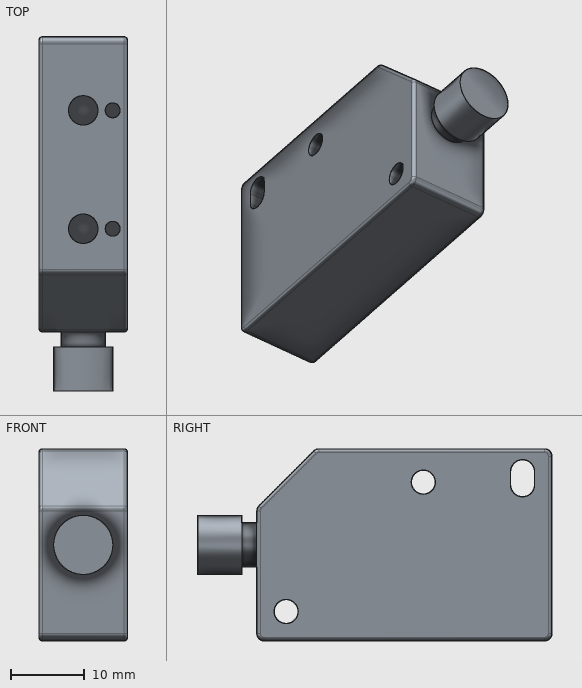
import cadquery as cq

width = 12.0
body_length = 40.0
height = 26.0
slope_size = 8.0
corner_radius = 1.0
side_edge_radius = 0.5

total_length = 48.0
neck_length = 2.0
neck_diameter = 6.0
head_diameter = 8.0

mount_diameter = 3.2
mount_inset = 4.0
slot_length = 5.0
upper_hole_from_back = 17.4
upper_hole_from_top = 4.5

window_diameter = 4.0
indicator_diameter = 2.0
indicator_offset = 4.0
windows_from_back = (10.0, 26.0)
recess_depth = 5.0

back_y = total_length / 2
front_y = back_y - body_length
top_z = height / 2
bottom_z = -height / 2


def make_housing():
    """Side profile extruded across the width, with rounded edges."""
    housing = (
        cq.Workplane("YZ")
        .polyline([
            (front_y, bottom_z),
            (back_y, bottom_z),
            (back_y, top_z),
            (front_y + slope_size, top_z),
            (front_y, top_z - slope_size),
        ])
        .close()
        .extrude(width / 2, both=True)
    )
    housing = housing.edges("|X").fillet(corner_radius)
    return housing.faces("<X or >X").edges().fillet(side_edge_radius)


def make_connector():
    """Narrow neck and wider head pointing toward -Y."""
    head_length = total_length - body_length - neck_length
    neck = cq.Workplane("XZ", origin=(0, front_y, 0)).circle(neck_diameter / 2).extrude(neck_length)
    return neck.faces("<Y").workplane().circle(head_diameter / 2).extrude(head_length)


def make_mounting_cutters():
    """Two round holes and one upright slot, all crossing the full width."""
    side_plane = cq.Workplane("YZ")
    holes = (
        side_plane
        .pushPoints([
            (back_y - upper_hole_from_back, top_z - upper_hole_from_top),
            (front_y + mount_inset, bottom_z + mount_inset),
        ])
        .circle(mount_diameter / 2)
        .extrude(width / 2, both=True)
    )
    slot = (
        side_plane
        .center(back_y - mount_inset, top_z - mount_inset)
        .slot2D(slot_length, mount_diameter, 90)
        .extrude(width / 2, both=True)
    )
    return holes.union(slot)


def make_top_recess(x, y, diameter):
    """Flat-bottomed round recess cutter reaching down from the top face."""
    return cq.Workplane("XY", origin=(x, y, top_z)).circle(diameter / 2).extrude(-recess_depth)


result = make_housing().union(make_connector()).cut(make_mounting_cutters())
for distance in windows_from_back:
    recess_y = back_y - distance
    result = result.cut(make_top_recess(0, recess_y, window_diameter))
    result = result.cut(make_top_recess(indicator_offset, recess_y, indicator_diameter))